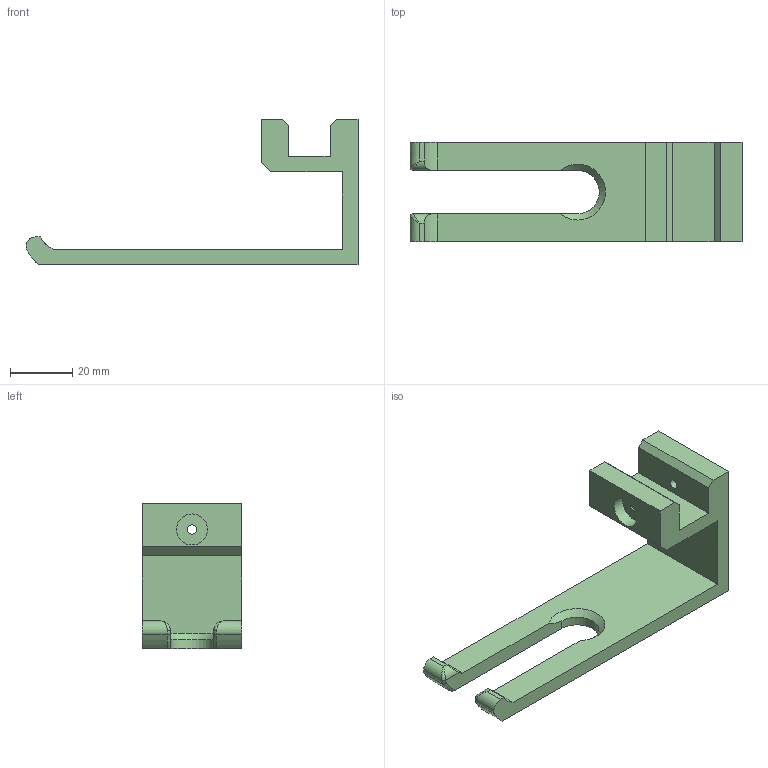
import cadquery as cq
import math

length = 107.0
width = 32.0
height = 47.0
plate_thickness = 5.0

block_length = 31.2
block_underside_z = 30.0
block_corner_chamfer = 3.0
channel_floor_z = 35.0
channel_width = 13.4
back_wall_thickness = 9.0
channel_chamfer = 2.0

screw_diameter = 3.0
screw_head_diameter = 10.0
screw_head_depth = 4.0
screw_z = 38.5

slot_width = 14.0
slot_center_x = 54.0
countersink_depth = 2.0

hook_height = 9.0
tip_radius = 3.0
tip_flat_end_x = 4.6
hook_base_x = 8.8
hook_inner_radius = 10.0
hook_outer_radius = 20.0
tip_junction_angle = math.radians(210)
tip_top_rounding = 3.0
tip_front_rounding = 1.0


def arc_midpoint(start, end, radius):
    """Middle of the arc that bulges to the right of the way from start to end."""
    dx = end[0] - start[0]
    dz = end[1] - start[1]
    chord = math.hypot(dx, dz)
    bulge = radius - math.sqrt(radius**2 - (chord / 2) ** 2)
    return (
        (start[0] + end[0]) / 2 + bulge * dz / chord,
        (start[1] + end[1]) / 2 - bulge * dx / chord,
    )


def point_on_tip(angle):
    """Point of the tip circle, which touches x = 0 and the top of the hook."""
    return (
        tip_radius + tip_radius * math.cos(angle),
        hook_height - tip_radius + tip_radius * math.sin(angle),
    )


def make_profile():
    """Side outline of arm, wall and channel block, extruded across the width."""
    block_x = length - block_length
    channel_end_x = length - back_wall_thickness
    channel_start_x = channel_end_x - channel_width
    wall_x = length - plate_thickness

    junction = point_on_tip(tip_junction_angle)
    outer_center_x = junction[0] - hook_outer_radius * math.cos(tip_junction_angle)
    outer_center_z = junction[1] - hook_outer_radius * math.sin(tip_junction_angle)
    heel = (outer_center_x - math.sqrt(hook_outer_radius**2 - outer_center_z**2), 0)

    tip_top = point_on_tip(math.pi / 2)
    tip_middle = point_on_tip((math.pi / 2 + tip_junction_angle) / 2)
    flat_end = (tip_flat_end_x, hook_height)
    hook_base = (hook_base_x, plate_thickness)

    outline = (
        cq.Workplane("XZ", origin=(0, width / 2, 0))
        .moveTo(*heel)
        .lineTo(length, 0)
        .lineTo(length, height)
        .lineTo(channel_end_x + channel_chamfer, height)
        .lineTo(channel_end_x, height - channel_chamfer)
        .lineTo(channel_end_x, channel_floor_z)
        .lineTo(channel_start_x, channel_floor_z)
        .lineTo(channel_start_x, height - channel_chamfer)
        .lineTo(channel_start_x - channel_chamfer, height)
        .lineTo(block_x, height)
        .lineTo(block_x, block_underside_z + block_corner_chamfer)
        .lineTo(block_x + block_corner_chamfer, block_underside_z)
        .lineTo(wall_x, block_underside_z)
        .lineTo(wall_x, plate_thickness)
        .lineTo(*hook_base)
        .threePointArc(arc_midpoint(flat_end, hook_base, hook_inner_radius), flat_end)
        .lineTo(*tip_top)
        .threePointArc(tip_middle, junction)
        .threePointArc(arc_midpoint(junction, heel, hook_outer_radius), heel)
        .close()
    )
    return outline.extrude(width)


def cut_slot(body):
    """Open-ended slot along the arm; its round end is countersunk from above."""
    end_radius = slot_width / 2
    straight = cq.Workplane("XY").box(slot_center_x, slot_width, hook_height, centered=(False, True, False))
    round_end = cq.Workplane("XY").center(slot_center_x, 0).circle(end_radius).extrude(hook_height)
    countersink = cq.Workplane(
        cq.Solid.makeCone(
            end_radius,
            end_radius + countersink_depth,
            countersink_depth,
            pnt=cq.Vector(slot_center_x, 0, plate_thickness - countersink_depth),
            dir=cq.Vector(0, 0, 1),
        )
    )
    return body.cut(straight).cut(round_end).cut(countersink)


def round_tips(body):
    """Round the inner top corner of each tip along X, then the edge around its front."""
    junction_x, junction_z = point_on_tip(tip_junction_angle)
    rounding_z = hook_height - tip_top_rounding
    for side in (-1, 1):
        inner_y = side * slot_width / 2
        axis_y = inner_y + side * tip_top_rounding
        corner = (
            cq.Workplane("YZ")
            .moveTo(inner_y, rounding_z)
            .lineTo(inner_y, hook_height)
            .lineTo(axis_y, hook_height)
            .radiusArc((inner_y, rounding_z), -side * tip_top_rounding)
            .close()
            .extrude(hook_base_x)
        )
        body = body.cut(corner)
        front_point = (junction_x / 2, inner_y, (junction_z + rounding_z) / 2)
        front_edge = cq.selectors.NearestToPointSelector(front_point)
        body = body.edges(front_edge).fillet(tip_front_rounding)
    return body


def drill_screw_hole(body):
    """Screw hole along X, with a recess for the head in the front face of the block."""
    front_face = cq.Workplane("YZ", origin=(length - block_length, 0, screw_z))
    hole = front_face.circle(screw_diameter / 2).extrude(block_length)
    head = front_face.circle(screw_head_diameter / 2).extrude(screw_head_depth)
    return body.cut(hole).cut(head)


result = drill_screw_hole(round_tips(cut_slot(make_profile())))